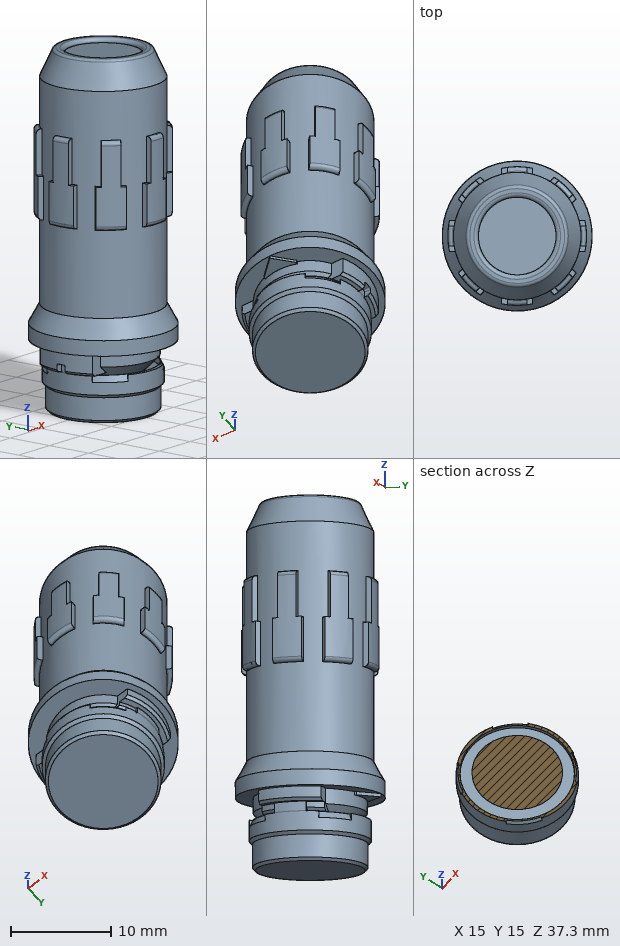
import cadquery as cq

length = 37.3
body_radius = 6.38

nose_base_z = 34.35
nose_tip_radius = 5.0
nose_edge_fillet = 0.4
mouth_radius = 3.88
mouth_depth = 0.5
mouth_fillet = 0.45

flange_radius = 7.5
flange_bottom_z = 7.35
flange_top_z = 8.95
flange_cone_top_z = 10.95

neck_radius = 5.7
neck_chamfer_z = 5.8

ring_radius = 6.1
ring_bottom_z = 3.0
ring_top_z = 4.95
ring_wall = 0.4
ring_groove_depth = 0.67
plug_radius = 5.8
plug_top_z = 2.65
plug_chamfer = 0.3

notch_count = 4
notch_width = 3.58
notch_depth = 0.35
notch_bottom_z = 4.3

rib_count = 8
rib_radius = 6.95
rib_bottom_z = 20.05
rib_step_z = 24.58
rib_top_z = 29.3
rib_lower_width = 3.1
rib_upper_width = 1.98
rib_end_fillet = 0.45

lug_radius = 6.83
lug_width = 6.65
lug_root = neck_radius / 2
lug_chamfer = 0.3
lug_bottom_z = 5.05
short_lug_bottom_z = 5.93
short_lug_core_radius = 5.93

tab_top_z = 5.95
narrow_tab_width = 1.0
narrow_tab_fillet = 0.2
wide_tab_width = 3.35

marker_base_y = 5.6
marker_bottom_z = 7.0


def cylinder(radius, bottom_z, top_z):
    return cq.Workplane("XY").workplane(offset=bottom_z).circle(radius).extrude(top_z - bottom_z)


def box(x_min, x_max, width_y, z_min, z_max):
    """Box centred on the XZ plane."""
    size = (x_max - x_min, width_y, z_max - z_min)
    return cq.Workplane("XY").box(*size).translate(((x_min + x_max) / 2, 0, (z_min + z_max) / 2))


def make_body():
    groove_floor_z = ring_top_z - ring_groove_depth
    neck_foot_radius = neck_radius - (neck_chamfer_z - groove_floor_z)
    profile = [
        (0, 0),
        (plug_radius - plug_chamfer, 0),
        (plug_radius, plug_chamfer),
        (plug_radius, plug_top_z),
        (ring_radius, ring_bottom_z),
        (ring_radius, ring_top_z),
        (ring_radius - ring_wall, ring_top_z),
        (ring_radius - ring_wall, groove_floor_z),
        (neck_foot_radius, groove_floor_z),
        (neck_radius, neck_chamfer_z),
        (neck_radius, flange_bottom_z),
        (flange_radius, flange_bottom_z),
        (flange_radius, flange_top_z),
        (body_radius, flange_cone_top_z),
        (body_radius, nose_base_z),
        (nose_tip_radius, length),
        (0, length),
    ]
    body = cq.Workplane("XZ").polyline(profile).close().revolve(360, (0, 0, 0), (0, 1, 0))
    body = body.faces(">Z").edges().fillet(nose_edge_fillet)
    body = body.cut(cylinder(mouth_radius, length - mouth_depth, length))
    mouth_edge = cq.selectors.RadiusNthSelector(0)
    return body.faces(">Z").edges(mouth_edge).fillet(mouth_fillet)


def make_ring_notches():
    """Wedges of ring material, each with a conical floor that slopes up towards the axis."""
    profile = [
        (ring_radius, notch_bottom_z),
        (flange_radius, notch_bottom_z),
        (flange_radius, ring_top_z),
        (ring_radius - notch_depth, ring_top_z),
    ]
    wedge = cq.Workplane("XZ").polyline(profile).close().revolve(360, (0, 0, 0), (0, 1, 0))
    wedge = wedge.intersect(box(0, flange_radius, notch_width, notch_bottom_z, ring_top_z))
    notches = cq.Workplane("XY")
    for index in range(notch_count):
        angle = (index + 0.5) * 360 / notch_count
        notches = notches.add(wedge.rotate((0, 0, 0), (0, 0, 1), angle))
    return notches.combine()


def make_rib():
    """Stepped rib on the +X side, wide below and narrow above, with rounded ends."""
    blank = cylinder(rib_radius, rib_bottom_z, rib_top_z).edges().fillet(rib_end_fillet)
    blank = blank.cut(cylinder(neck_radius, rib_bottom_z, rib_top_z))
    lower = box(0, rib_radius, rib_lower_width, rib_bottom_z, rib_step_z)
    upper = box(0, rib_radius, rib_upper_width, rib_step_z, rib_top_z)
    return blank.intersect(lower.union(upper))


def make_lug(radius, bottom_z):
    """Lug on the +X side, chamfered along its lower outer edge."""
    blank = cylinder(radius, bottom_z, flange_bottom_z).faces("<Z").edges().chamfer(lug_chamfer)
    return blank.intersect(box(lug_root, radius, lug_width, bottom_z, flange_bottom_z))


def make_long_lug():
    """Lug on the -X side, reaching the ring, with a round-cornered slot in front of its tab."""
    slot = box(lug_root, flange_radius, narrow_tab_width, ring_top_z, tab_top_z)
    slot = slot.edges("|X and >Z").fillet(narrow_tab_fillet)
    tab = cylinder(ring_radius, ring_top_z, tab_top_z).intersect(slot)
    lug = make_lug(lug_radius, lug_bottom_z).cut(slot).union(tab)
    return lug.rotate((0, 0, 0), (0, 0, 1), 180)


def make_short_lug():
    """Lug on the +X side, stepped in above the ring, with a wide tab in the step."""
    outer = make_lug(lug_radius, short_lug_bottom_z)
    core = make_lug(short_lug_core_radius, lug_bottom_z)
    strip = box(lug_root, ring_radius, wide_tab_width, ring_top_z, tab_top_z)
    tab = cylinder(ring_radius, ring_top_z, tab_top_z).intersect(strip)
    return outer.union(core).union(tab)


def make_marker():
    """Right-angled pointer with its tip on the flange rim and its back inside the neck."""
    half_base = flange_radius - marker_base_y
    outline = [
        (0, flange_radius),
        (-half_base, marker_base_y),
        (-half_base, 0),
        (half_base, 0),
        (half_base, marker_base_y),
    ]
    return (
        cq.Workplane("XY")
        .workplane(offset=marker_bottom_z)
        .polyline(outline)
        .close()
        .extrude(flange_bottom_z - marker_bottom_z)
    )


result = make_body().cut(make_ring_notches())
rib = make_rib()
for index in range(rib_count):
    result = result.union(rib.rotate((0, 0, 0), (0, 0, 1), index * 360 / rib_count))
for feature in (make_long_lug(), make_short_lug(), make_marker()):
    result = result.union(feature)